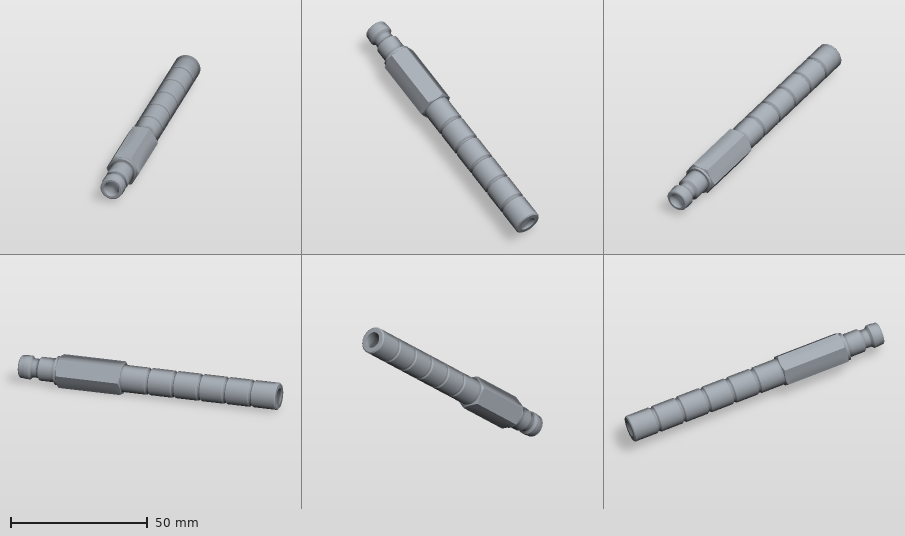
import cadquery as cq
import math

LENGTH = 100.0
BORE_RADIUS = 3.0

HEX_FLATS = 11.0
HEX_START = 15.0
HEX_END = 40.0
HEX_CORNER_RADIUS = HEX_FLATS / math.sqrt(3)
HEX_CHAMFER_RADIUS = 5.4
HEX_CHAMFER_ANGLE = 30.0

SHAFT_RADIUS = 5.0
SHAFT_CHAMFER = 0.4
GROOVE_COUNT = 5
GROOVE_PITCH = 10.0
GROOVE_WIDTH = 1.6
GROOVE_DEPTH = 0.5

COLLAR_RADIUS = 5.3
COLLAR_START = 14.0
NECK_RADIUS = 4.4
NECK_START = 7.9
LATCH_RADIUS = 3.5
LATCH_END = 7.0
LATCH_START = 4.9
HEAD_END = 4.0
HEAD_START = 2.6
NOSE_RADIUS = 4.2
NOSE_END = 1.0
TIP_CHAMFER = 0.4


def revolve_about_y(points):
    """Revolve a closed (radius, y) outline about the Y axis."""
    return cq.Workplane("XY").polyline(points).close().revolve(360, (0, 0, 0), (0, 1, 0))


def make_plug():
    return revolve_about_y([
        (0, 0),
        (NOSE_RADIUS - TIP_CHAMFER, 0),
        (NOSE_RADIUS, TIP_CHAMFER),
        (NOSE_RADIUS, NOSE_END),
        (NECK_RADIUS, HEAD_START),
        (NECK_RADIUS, HEAD_END),
        (LATCH_RADIUS, LATCH_START),
        (LATCH_RADIUS, LATCH_END),
        (NECK_RADIUS, NECK_START),
        (NECK_RADIUS, COLLAR_START),
        (COLLAR_RADIUS, COLLAR_START),
        (COLLAR_RADIUS, HEX_START),
        (0, HEX_START),
    ])


def make_hex_grip():
    """Hexagon with corners on +X and -X, its corners turned down at both ends."""
    hexagon = (
        cq.Workplane("XZ", origin=(0, HEX_START, 0))
        .polygon(6, 2 * HEX_CORNER_RADIUS)
        .extrude(HEX_START - HEX_END)
    )
    corner_height = HEX_CORNER_RADIUS - HEX_CHAMFER_RADIUS
    chamfer_length = corner_height * math.tan(math.radians(HEX_CHAMFER_ANGLE))
    envelope = revolve_about_y([
        (0, HEX_START),
        (HEX_CHAMFER_RADIUS, HEX_START),
        (HEX_CORNER_RADIUS, HEX_START + chamfer_length),
        (HEX_CORNER_RADIUS, HEX_END - chamfer_length),
        (HEX_CHAMFER_RADIUS, HEX_END),
        (0, HEX_END),
    ])
    return hexagon.intersect(envelope)


def make_shaft():
    """Cylinder with equally spaced grooves that have 45 degree sides."""
    groove_radius = SHAFT_RADIUS - GROOVE_DEPTH
    half_width = GROOVE_WIDTH / 2
    half_floor = half_width - GROOVE_DEPTH
    outline = [(0, HEX_END), (SHAFT_RADIUS, HEX_END)]
    for index in range(GROOVE_COUNT):
        center = LENGTH - (GROOVE_COUNT - index) * GROOVE_PITCH
        outline += [
            (SHAFT_RADIUS, center - half_width),
            (groove_radius, center - half_floor),
            (groove_radius, center + half_floor),
            (SHAFT_RADIUS, center + half_width),
        ]
    outline += [
        (SHAFT_RADIUS, LENGTH - SHAFT_CHAMFER),
        (SHAFT_RADIUS - SHAFT_CHAMFER, LENGTH),
        (0, LENGTH),
    ]
    return revolve_about_y(outline)


def make_bore():
    """Straight bore through the whole length."""
    return cq.Workplane("XZ").circle(BORE_RADIUS).extrude(-LENGTH)


result = make_plug().union(make_hex_grip()).union(make_shaft()).cut(make_bore())